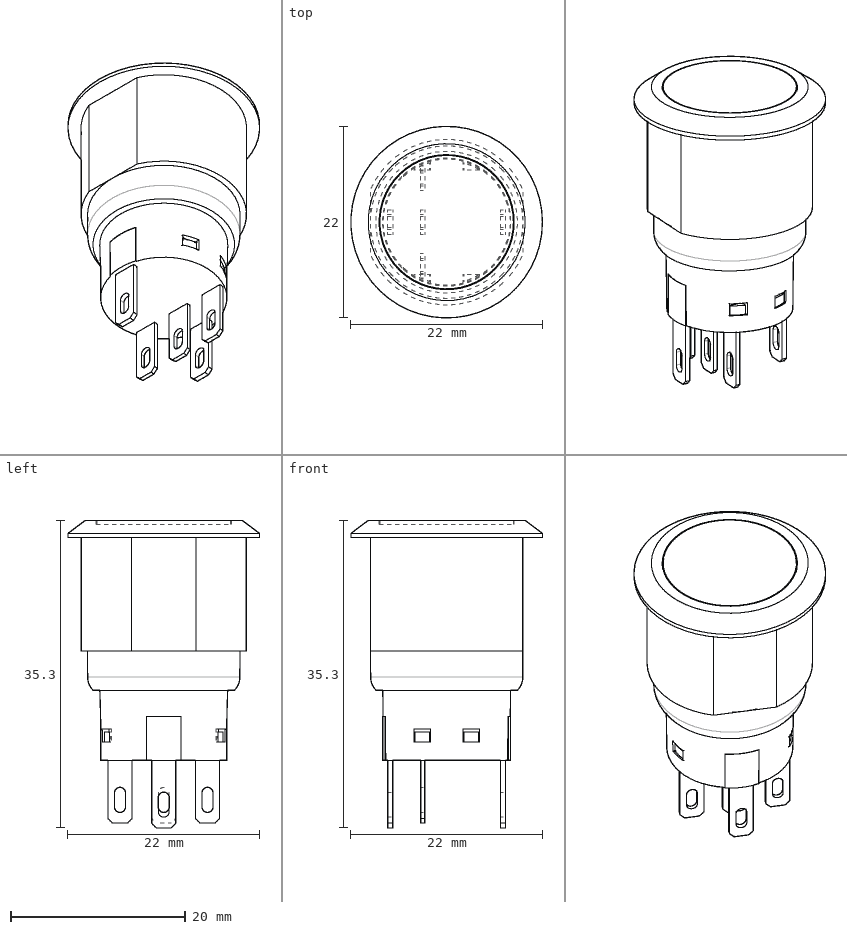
import cadquery as cq
import math


bezel_diameter = 22.0
bezel_face_diameter = 18.0
bezel_height = 2.0
bezel_rim_height = 0.5

button_bore_diameter = 15.5
button_cap_diameter = 15.3
button_gap_depth = 0.5

barrel_diameter = 19.0
barrel_flat_width = 17.5
barrel_length = 13.0

collar_diameter = 17.5
collar_bottom_diameter = 16.25
collar_length = 4.5
collar_round_height = 1.5

housing_top_diameter = 14.7
housing_bottom_diameter = 14.5
housing_length = 8.05

pad_width = 3.95
pad_height = 5.05

window_offset_x = 2.8
window_width = 1.9
window_height = 1.5
window_bottom_rise = 2.1
window_inner_y = 6.0
latch_top_gap = 0.35
latch_side_gap = 0.12
latch_setback = 0.2

terminal_width = 2.8
terminal_chamfer = 0.55
terminal_slot_width = 1.25
terminal_slot_length = 2.85
terminal_slot_rise = 1.25
long_terminal_length = 7.75
long_terminal_thickness = 0.6
long_terminal_x = 6.47
short_terminal_length = 7.2
short_terminal_thickness = 0.5
short_terminal_x = -2.74
short_terminal_pitch = 5.02

barrel_bottom = -barrel_length
collar_bottom = barrel_bottom - collar_length
housing_bottom = collar_bottom - housing_length
housing_radius = housing_top_diameter / 2


def make_disc(diameter, bottom, height):
    return cq.Workplane("XY").workplane(offset=bottom).circle(diameter / 2).extrude(height)


def make_bezel():
    rim_radius = bezel_diameter / 2
    profile = [
        (0, 0),
        (rim_radius, 0),
        (rim_radius, bezel_rim_height),
        (bezel_face_diameter / 2, bezel_height),
        (0, bezel_height),
    ]
    bezel = cq.Workplane("XZ").polyline(profile).close().revolve(360, (0, 0, 0), (0, 1, 0))
    gap_bottom = bezel_height - button_gap_depth
    bore = make_disc(button_bore_diameter, gap_bottom, button_gap_depth)
    cap = make_disc(button_cap_diameter, gap_bottom, button_gap_depth)
    return bezel.cut(bore.cut(cap))


def make_barrel():
    barrel = make_disc(barrel_diameter, barrel_bottom, barrel_length)
    flats = cq.Workplane("XY").box(barrel_flat_width, barrel_diameter, 2 * barrel_length)
    return barrel.intersect(flats)


def make_collar():
    outer = collar_diameter / 2
    inner = collar_bottom_diameter / 2
    round_top = collar_bottom + collar_round_height
    inset = outer - inner
    round_radius = (inset**2 + collar_round_height**2) / (2 * inset)
    half_sweep = math.asin(collar_round_height / round_radius) / 2
    arc_middle = (
        outer - round_radius * (1 - math.cos(half_sweep)),
        round_top - round_radius * math.sin(half_sweep),
    )
    return (
        cq.Workplane("XZ")
        .moveTo(0, barrel_bottom)
        .lineTo(outer, barrel_bottom)
        .lineTo(outer, round_top)
        .threePointArc(arc_middle, (inner, collar_bottom))
        .lineTo(0, collar_bottom)
        .close()
        .revolve(360, (0, 0, 0), (0, 1, 0))
    )


def make_tapered_core(inset=0.0):
    """Housing cone, with its wall moved inward by inset."""
    return (
        cq.Workplane("XY")
        .workplane(offset=housing_bottom)
        .circle(housing_bottom_diameter / 2 - inset)
        .workplane(offset=housing_length)
        .circle(housing_radius - inset)
        .loft()
    )


def make_pads():
    pads = cq.Workplane("XY").workplane(offset=housing_bottom)
    pads = pads.rect(housing_top_diameter, pad_width).extrude(pad_height)
    return pads.intersect(make_disc(housing_top_diameter, housing_bottom, pad_height))


def make_window_block(x, side, width, height):
    depth = housing_radius - window_inner_y
    return (
        cq.Workplane("XY")
        .box(width, depth, height, centered=(True, True, False))
        .translate((x, side * (window_inner_y + depth / 2), housing_bottom + window_bottom_rise))
    )


def make_housing():
    housing = make_tapered_core()
    latch_limit = make_tapered_core(latch_setback)
    latch_width = window_width - 2 * latch_side_gap
    latch_height = window_height - latch_top_gap
    for side in (-1, 1):
        for x in (-window_offset_x, window_offset_x):
            pocket = make_window_block(x, side, window_width, window_height)
            latch = make_window_block(x, side, latch_width, latch_height)
            housing = housing.cut(pocket.cut(latch.intersect(latch_limit)))
    return housing.union(make_pads())


def make_terminal(x, y, thickness, length):
    """Flat blade hanging from the housing, with clipped corners and a wire slot."""
    slot_center = -length + terminal_slot_rise + terminal_slot_length / 2
    blade = (
        cq.Workplane("XY")
        .box(thickness, terminal_width, length, centered=(True, True, False))
        .translate((0, 0, -length))
        .edges("|X and <Z")
        .chamfer(terminal_chamfer)
    )
    slot = (
        cq.Workplane("YZ")
        .center(0, slot_center)
        .slot2D(terminal_slot_length, terminal_slot_width, 90)
        .extrude(thickness, both=True)
    )
    return blade.cut(slot).translate((x, y, housing_bottom))


result = make_bezel().union(make_barrel()).union(make_collar()).union(make_housing())
for x in (-long_terminal_x, long_terminal_x):
    result = result.union(make_terminal(x, 0, long_terminal_thickness, long_terminal_length))
for row in (-1, 0, 1):
    y = row * short_terminal_pitch
    terminal = make_terminal(short_terminal_x, y, short_terminal_thickness, short_terminal_length)
    result = result.union(terminal)